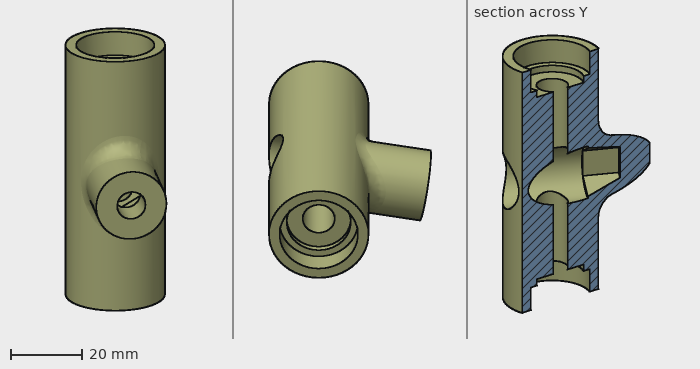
import cadquery as cq
import math

tube_length = 74.3
tube_diameter = 28.0
tube_bore = 9.0

seat_diameter = 22.0
seat_depth = 7.0
relief_diameter = 18.0
relief_depth = 2.0

branch_angle = -24.1
branch_diameter = 20.0
branch_reach = 30.3
branch_bore = 8.0
branch_fillet = 5.0
joint_margin = 0.75

access_diameter = 16.0
access_end = 10.3
hex_across_flats = 13.4
hex_depth = 10.3


def branch_plane(distance):
    """Plane square to the branch axis, at a distance from the tube axis."""
    angle = math.radians(branch_angle)
    direction = cq.Vector(math.cos(angle), math.sin(angle), 0)
    return cq.Plane(
        origin=(direction * distance).toTuple(),
        xDir=(-direction.y, direction.x, 0),
        normal=direction.toTuple(),
    )


def branch_cylinder(start, end, diameter):
    """Cylinder on the branch axis between two distances from the tube axis."""
    return cq.Workplane(branch_plane(start)).circle(diameter / 2).extrude(end - start)


def tube_cylinder(bottom, height, diameter):
    """Cylinder on the tube axis."""
    return cq.Workplane("XY", origin=(0, 0, bottom)).circle(diameter / 2).extrude(height)


def body():
    """Solid tube and branch, with the joint between them filleted."""
    tube = tube_cylinder(-tube_length / 2, tube_length, tube_diameter)
    joined = tube.union(branch_cylinder(0, branch_reach, branch_diameter))
    box_half = (tube_diameter + branch_diameter) / 2
    joint_end = tube_diameter / 2 + joint_margin
    joint_box = cq.selectors.BoxSelector(
        (-joint_end, -joint_end, -box_half), (joint_end, joint_end, box_half), boundingbox=True
    )
    return joined.edges(joint_box).fillet(branch_fillet)


def end_seat():
    """Stepped seat cutter for the upper end of the tube."""
    seat_floor = tube_length / 2 - seat_depth
    seat = tube_cylinder(seat_floor, seat_depth, seat_diameter)
    return seat.union(tube_cylinder(seat_floor - relief_depth, relief_depth, relief_diameter))


def hex_pocket():
    """Hexagonal nut pocket with two of its flats vertical."""
    across_corners = hex_across_flats / math.cos(math.pi / 6)
    return (
        cq.Workplane(branch_plane(access_end))
        .transformed(rotate=(0, 0, 90))
        .polygon(6, across_corners)
        .extrude(hex_depth)
    )


upper_seat = end_seat()
result = (
    body()
    .cut(tube_cylinder(-tube_length / 2, tube_length, tube_bore))
    .cut(upper_seat)
    .cut(upper_seat.mirror("XY"))
    .cut(branch_cylinder(-tube_diameter, access_end, access_diameter))
    .cut(hex_pocket())
    .cut(branch_cylinder(0, branch_reach, branch_bore))
)